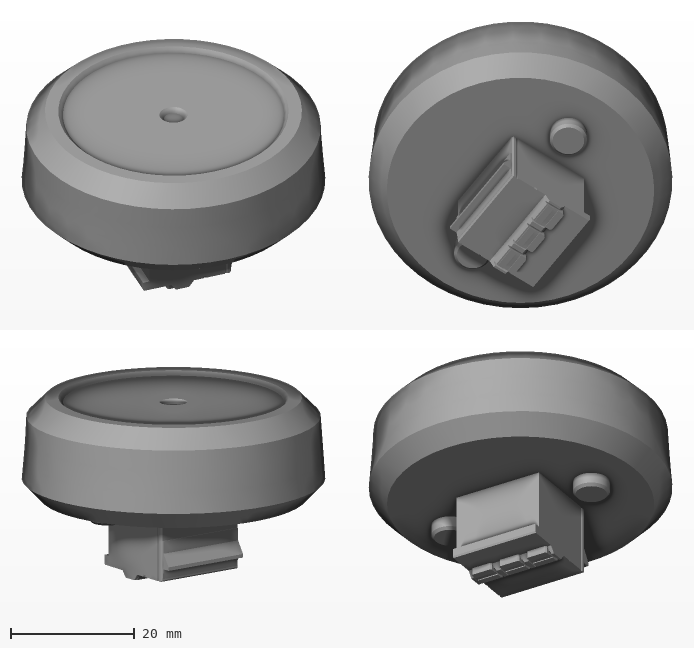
import cadquery as cq

CAP_RADIUS = 24.5
CAP_BOTTOM_RADIUS = 21.55
CAP_SHOULDER_RADIUS = 23.75
CAP_TOP_RADIUS = 20.75
CAP_HEIGHT = 16.4
BEVEL_HEIGHT = 3.05

DISH_RADIUS = 18.57
DISH_FLOOR_RADIUS = 17.85
DISH_DEPTH = 0.75

DIMPLE_RADIUS = 2.25
DIMPLE_FLOOR_RADIUS = 1.5
DIMPLE_DEPTH = 0.75

PEG_RADIUS = 3.0
PEG_LENGTH = 2.25
PEG_CHAMFER = 0.45
PEG_OFFSET = 13.4

BLOCK_WIDTH = 15.6
BLOCK_HALF_LENGTH = 7.05
BLOCK_DEPTH = 11.75

FLANGE_REACH = 1.15
FLANGE_HEIGHT = 1.6
FLANGE_CHAMFER_RISE = 0.3
FLANGE_CHAMFER_RUN = 0.15

LATCH_WIDTH = 15.1
LATCH_PAD = 0.25
LATCH_REACH = 1.55
LATCH_TOP = 4.95
LATCH_SLOPE_TOP = 7.0
LATCH_NOSE_TOP = 9.0
LATCH_NOSE_BOTTOM = 9.6
LATCH_FOOT = 11.25

RAIL_DEPTH = 1.1
RAIL_BACK = 0.6
RAIL_FRONT = -3.35
RAIL_SLOPE = 0.85

TAB_COUNT = 3
TAB_PITCH = 5.2
TAB_WIDTH = 3.72
TAB_BACK = -0.5
TAB_FRONT = -3.7
TAB_DEPTH = 1.23
TAB_CHAMFER = 0.25
TAB_SLOT_BACK = -1.6
TAB_SLOT_FRONT = -2.45

RELIEF_MOUTH = 0.35
RELIEF_FLOOR = 0.15
RELIEF_DEPTH = 0.45

GROOVE_BACK = 6.4
GROOVE_FLOOR_BACK = 6.18
GROOVE_FRONT = 6.0
GROOVE_DEPTH = 0.15
CORNER_CHAMFER = 0.25

NICK_CENTER = 2.5
NICK_WIDTH = 0.5
NICK_HEIGHT = 0.35
NICK_DEPTH = 0.1


def centred_box(width, front, back, bottom, top, x_center=0.0):
    """Box of a given X width between two Y values and two Z values."""
    return (
        cq.Workplane("XY")
        .box(width, back - front, top - bottom, centered=(True, False, False))
        .translate((x_center, front, bottom))
    )


def revolved_cap():
    dish_floor = CAP_HEIGHT - DISH_DEPTH
    dimple_floor = dish_floor - DIMPLE_DEPTH
    half_section = [
        (0, 0),
        (CAP_BOTTOM_RADIUS, 0),
        (CAP_RADIUS, BEVEL_HEIGHT),
        (CAP_SHOULDER_RADIUS, CAP_HEIGHT - BEVEL_HEIGHT),
        (CAP_TOP_RADIUS, CAP_HEIGHT),
        (DISH_RADIUS, CAP_HEIGHT),
        (DISH_FLOOR_RADIUS, dish_floor),
        (DIMPLE_RADIUS, dish_floor),
        (DIMPLE_FLOOR_RADIUS, dimple_floor),
        (0, dimple_floor),
    ]
    return cq.Workplane("XZ").polyline(half_section).close().revolve(360, (0, 0, 0), (0, 1, 0))


def peg(x):
    return (
        cq.Workplane("XY")
        .center(x, 0)
        .circle(PEG_RADIUS)
        .extrude(-PEG_LENGTH)
        .faces("<Z")
        .chamfer(PEG_CHAMFER)
    )


def make_cap():
    cap = revolved_cap()
    for side in (-1, 1):
        cap = cap.union(peg(side * PEG_OFFSET))
    return cap


def extruded_along_x(outline, width):
    """Prism from a (Y, Z) outline, centred on X = 0."""
    return cq.Workplane("YZ").polyline(outline).close().extrude(width / 2, both=True)


def prism_along_y(outline, front, back):
    """Prism from an (X, Z) outline, between two Y values."""
    prism = cq.Workplane("XZ").polyline(outline).close().extrude(back - front)
    return prism.translate((0, back, 0))


def block_with_flange():
    block = centred_box(BLOCK_WIDTH, -BLOCK_HALF_LENGTH, BLOCK_HALF_LENGTH, -BLOCK_DEPTH, 0)
    block = block.edges("(|Z and >Y) or (<Z and >Y)").chamfer(CORNER_CHAMFER)
    flange_front = -BLOCK_HALF_LENGTH - FLANGE_REACH
    flange = centred_box(BLOCK_WIDTH, flange_front, 0, -BLOCK_DEPTH, FLANGE_HEIGHT - BLOCK_DEPTH)
    edge_cut = [
        (flange_front, -BLOCK_DEPTH),
        (flange_front, FLANGE_CHAMFER_RISE - BLOCK_DEPTH),
        (flange_front + FLANGE_CHAMFER_RUN, -BLOCK_DEPTH),
    ]
    flange = flange.cut(extruded_along_x(edge_cut, BLOCK_WIDTH))
    return block.union(flange)


def latch():
    pad = BLOCK_HALF_LENGTH + LATCH_PAD
    nose = BLOCK_HALF_LENGTH + LATCH_REACH
    root = BLOCK_HALF_LENGTH - CORNER_CHAMFER
    outline = [
        (root, -LATCH_TOP),
        (pad, -LATCH_TOP),
        (pad, -LATCH_SLOPE_TOP),
        (nose, -LATCH_NOSE_TOP),
        (nose, -LATCH_NOSE_BOTTOM),
        (pad, -LATCH_NOSE_BOTTOM),
        (BLOCK_HALF_LENGTH, -LATCH_FOOT),
        (root, -LATCH_FOOT),
    ]
    return extruded_along_x(outline, LATCH_WIDTH)


def rail():
    bottom = -BLOCK_DEPTH - RAIL_DEPTH
    outline = [
        (RAIL_BACK, -BLOCK_DEPTH),
        (RAIL_BACK - RAIL_SLOPE, bottom),
        (RAIL_FRONT + RAIL_SLOPE, bottom),
        (RAIL_FRONT, -BLOCK_DEPTH),
    ]
    return extruded_along_x(outline, BLOCK_WIDTH)


def tab(x):
    tip = -BLOCK_DEPTH - TAB_DEPTH
    rail_bottom = -BLOCK_DEPTH - RAIL_DEPTH
    body = centred_box(TAB_WIDTH, TAB_FRONT, TAB_BACK, tip, -BLOCK_DEPTH, x)
    body = body.edges("|Z and <Y").chamfer(TAB_CHAMFER)
    slot = centred_box(TAB_WIDTH, TAB_SLOT_FRONT, TAB_SLOT_BACK, tip, rail_bottom, x)
    return body.cut(slot)


def relief(tab_x, side):
    """Tapered slot through the rail along Y, against one side of a tab."""
    wall_x = tab_x + side * TAB_WIDTH / 2
    bottom = -BLOCK_DEPTH - RAIL_DEPTH
    outline = [
        (wall_x, bottom),
        (wall_x, bottom + RELIEF_DEPTH),
        (wall_x + side * RELIEF_FLOOR, bottom + RELIEF_DEPTH),
        (wall_x + side * RELIEF_MOUTH, bottom),
    ]
    return prism_along_y(outline, RAIL_FRONT, RAIL_BACK)


def side_groove(side):
    """Upright groove in the -X (side -1) or +X (side 1) face of the block."""
    face_x = side * BLOCK_WIDTH / 2
    floor_x = face_x - side * GROOVE_DEPTH
    outline = [
        (face_x, GROOVE_BACK),
        (floor_x, GROOVE_FLOOR_BACK),
        (floor_x, GROOVE_FRONT),
        (face_x, GROOVE_FRONT),
    ]
    return cq.Workplane("XY").polyline(outline).close().extrude(-BLOCK_DEPTH)


def side_nick(side):
    """Wedge-shaped nick, deepest at the bottom edge of the -X or +X face."""
    face_x = side * BLOCK_WIDTH / 2
    outline = [
        (face_x, NICK_HEIGHT - BLOCK_DEPTH),
        (face_x, -BLOCK_DEPTH),
        (face_x - side * NICK_DEPTH, -BLOCK_DEPTH),
    ]
    return prism_along_y(outline, NICK_CENTER - NICK_WIDTH / 2, NICK_CENTER + NICK_WIDTH / 2)


def make_connector():
    connector = block_with_flange().union(latch()).union(rail())
    for index in range(TAB_COUNT):
        x = (index - (TAB_COUNT - 1) / 2) * TAB_PITCH
        connector = connector.union(tab(x))
        for side in (-1, 1):
            connector = connector.cut(relief(x, side))
    for side in (-1, 1):
        connector = connector.cut(side_groove(side)).cut(side_nick(side))
    return connector


cap = make_cap()
connector = make_connector()

result = cq.Compound.makeCompound([cap.val(), connector.val()])